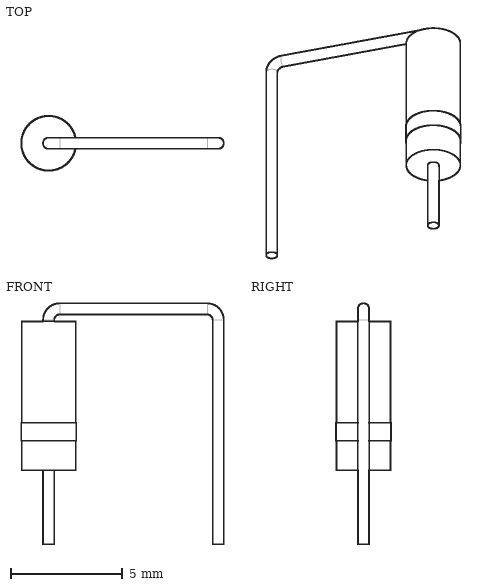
import cadquery as cq

lead_diameter = 0.51
lead_pitch = 7.62
bend_radius = 0.5
overall_height = 10.84

body_diameter = 2.44
body_length = 6.7
body_bottom = 3.32

band_diameter = 2.48
band_height = 0.8
band_offset = 1.34

lead_radius = lead_diameter / 2
span_height = overall_height - lead_radius
bend_start = span_height - bend_radius
body_top = body_bottom + body_length


def cylinder(diameter, bottom, height):
    """Cylinder on the Z axis."""
    return cq.Workplane("XY").workplane(offset=bottom).circle(diameter / 2).extrude(height)


def bent_lead():
    """Wire from inside the body, over the top and down to the second lead tip."""
    inside_body = (body_bottom + body_top) / 2
    path = (
        cq.Workplane("XZ")
        .moveTo(0, inside_body)
        .lineTo(0, bend_start)
        .radiusArc((bend_radius, span_height), bend_radius)
        .lineTo(lead_pitch - bend_radius, span_height)
        .radiusArc((lead_pitch, bend_start), bend_radius)
        .lineTo(lead_pitch, 0)
    )
    section = cq.Workplane("XY").workplane(offset=inside_body).circle(lead_radius)
    return section.sweep(path)


body = cylinder(body_diameter, body_bottom, body_length)
band = cylinder(band_diameter, body_bottom + band_offset, band_height)
straight_lead = cylinder(lead_diameter, 0, body_bottom)

result = body.union(band).union(straight_lead).union(bent_lead())